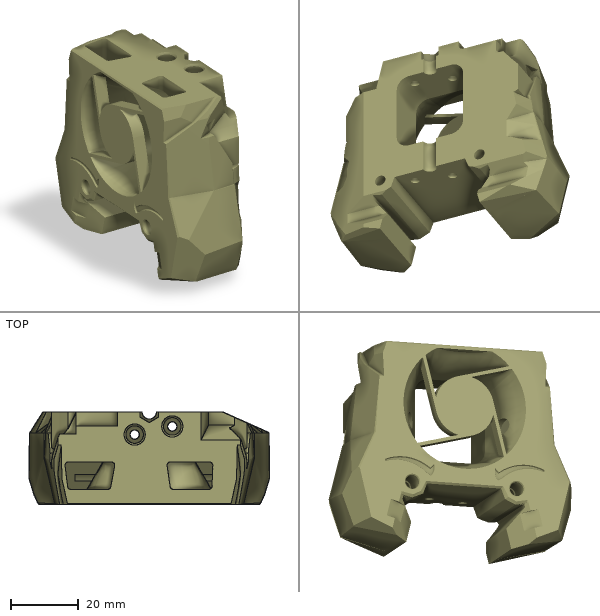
import cadquery as cq
import math

WIDTH = 71.07
DEPTH = 27.4
HEIGHT = 59.13
MARGIN = 2.0
FRONT_EDGE = 0.4
HALF_WIDTH = WIDTH / 2

TIP = (HALF_WIDTH, 7.8, 13.7)
TIP_BACK = (35.4, 21.2, 14.7)
HIP_FRONT = (32.6, 0, 20.4)
HIP_FOLD = (34.2, 3.1, 19.0)
FOOT_FRONT = (29.0, 0, 5.5)
FOOT_INNER_FRONT = (22.4, 0, 2.7)
HEEL_FRONT = (31.8, 6.6, 3.7)
HEEL_BACK = (31.8, 21.2, 3.7)
SOLE = (16.3, 7.0, 0)
WAIST_FRONT = (27.9, 0, 31.2)
WAIST_FOLD = (31.0, 14.0, 31.6)
WAIST_BACK = (31.0, 21.2, 31.0)
CHEST_FRONT = (26.7, 0, 48.0)
CHEST_FOLD = (29.6, 13.2, 46.0)
CHEST_BACK = (29.6, 20.0, 41.5)
SHOULDER_FRONT = (27.9, 9.0, 54.0)
SHOULDER_BACK = (28.6, 14.0, 55.2)
CREST_FRONT = (27.0, 13.0, HEIGHT)
CREST_BACK = (26.9, 18.6, HEIGHT)
WAIST_HEIGHT = 31.3

LOWER_FACETS = [
    (HIP_FRONT, FOOT_FRONT, TIP),
    (WAIST_FOLD, TIP, TIP_BACK),
    (WAIST_FRONT, WAIST_FOLD, HIP_FOLD),
    (TIP, TIP_BACK, HEEL_BACK),
    (FOOT_FRONT, FOOT_INNER_FRONT, HEEL_FRONT),
    (HEEL_FRONT, HEEL_BACK, SOLE),
]
UPPER_FACETS = [
    (WAIST_FRONT, WAIST_FOLD, CHEST_FOLD),
    (WAIST_FOLD, WAIST_BACK, CHEST_FOLD),
    (CHEST_FRONT, CHEST_FOLD, SHOULDER_FRONT),
    (CHEST_FOLD, CHEST_BACK, SHOULDER_BACK),
    (SHOULDER_FRONT, SHOULDER_BACK, CREST_FRONT),
    (SHOULDER_BACK, CREST_FRONT, CREST_BACK),
]
FRONT_TOP = HEIGHT - FRONT_EDGE
UPPER_FRONT_OUTLINE = [(0, FRONT_TOP), (25.6, FRONT_TOP), (26.5, 48.0), (27.6, WAIST_HEIGHT)]
LOWER_FRONT_OUTLINE = [(27.6, WAIST_HEIGHT), (32.4, 20.4)]

REAR_START = 21.2
REAR_PROFILE = [
    (HEIGHT, 26.5, 26.5), (48.3, 26.5, 26.5), (45.5, 28.9, 28.9), (36.6, 28.9, 28.9), (36.0, 30.3, 27.4),
    (31.5, 30.9, 28.3), (26.7, 32.0, 25.1), (21.0, 33.5, 25.1), (18.2, 34.2, 30.4), (13.7, 35.3, 31.4),
    (10.5, 34.3, 27.5), (3.5, 31.8, 26.0), (0, 16.3, 16.3), (0, 0, 0),
]
LUMP_START = 14.0
LUMP_OUTLINE = [(0, 51.5), (24.0, 51.5), (26.5, 48.3), (28.9, 45.5), (28.9, 36.6), (0, 36.6)]
RELIEF_START = 26.5
RELIEF_OUTLINE = [(13.0, 52.2), (REAR_START, 38.0), (DEPTH, 38.0), (DEPTH, 52.2)]
HOLLOW_PLANE = [(28.6, 13.0, 52.2), (26.9, 19.9, HEIGHT), (21.8, 26.6, 51.5)]
HOLLOW_FLOOR = 48.3
REAR_SLICE = [(HALF_WIDTH, 21.2), (21.7, DEPTH)]

OPENING_EDGE = 0.6
OPENING_FRONT = [(0, 17.5), (12.0, 17.5), (13.6, 14.4), (16.0, 13.2), (19.6, 13.9),
                 (20.2, 11.1), (14.75, 6.1), (16.3, 0), (16.3, -MARGIN), (0, -MARGIN)]
OPENING_REST = [(0, 16.9), (11.5, 16.9), (12.7, 13.8), (16.0, 12.4), (18.8, 12.8),
                (19.0, 11.8), (14.75, 6.1), (16.3, 0), (16.3, -MARGIN), (0, -MARGIN)]

FOOT_TILT = 14.0
BEVEL_ORIGIN = (21.35, 6.9)
BEVEL_ANGLE = 41.0
BEVEL_REACH = 9.0
BEVEL_BELOW = 9.0
BEVEL_ABOVE = 6.5
POCKET_SIZE = 5.2
POCKET_RISE = 1.3

LEDGE_FRONT = (25.0, 0, 48.4)
LEDGE_MIDDLE = (27.0, 9.0, 53.4)
LEDGE_BACK = (26.0, 17.6, HEIGHT)
SCOOP_TOP_FRONT = (25.6, 0, HEIGHT)
SCOOP_REACH = 8.0

FAN_HEIGHT = 41.0
FAN_RADIUS = 19.0
FAN_CEILING = 58.0
DUCT_LENGTH = 14.0
OUTLET_LEFT = -10.9
OUTLET_RIGHT = 10.8
OUTLET_BOTTOM = 26.9
OUTLET_TOP = 51.5
OUTLET_CORNER = 4.0
HUB_RADIUS = 9.1
HUB_LENGTH = 4.0
VANE_COUNT = 4
VANE_THICKNESS = 1.0
VANE_ANGLE = 14.5
WIRE_HOLE_DIAMETER = 5.0
WIRE_HOLE_DEPTH = 8.0
WIRE_HOLE_HEIGHT = 37.3
WIRE_HOLE_END = 22.0

WINDOW_LEFT = [(-25.0, 12.6), (-10.0, 12.6), (-11.5, 4.5), (-24.0, 4.5)]
WINDOW_RIGHT = [(5.1, 12.6), (18.8, 12.6), (18.5, 4.5), (6.3, 4.5)]
WINDOW_CORNER = 1.0
WINDOW_FLOOR = 35.0
DUCT_WALL = 2.0

FRONT_HOLE_X = 16.2
FRONT_HOLE_HEIGHT = 17.0
FRONT_HOLE_DIAMETER = 3.4
FRONT_BORE_DIAMETER = 4.2
FRONT_BORE_RIM = 4.8
FRONT_BORE_DEPTH = 8.0
TOP_HOLES = [(-4.3, 20.7), (6.8, 23.1)]
TOP_HOLE_DIAMETER = 2.7
TOP_BORE_DIAMETER = 5.2
TOP_BORE_RIM = 6.25
TOP_BORE_DEPTH = 4.0

CABLE_NOTCH = [(-2.8, DEPTH), (-2.8, 25.9), (0, 24.2), (2.8, 25.9), (2.8, DEPTH)]
CABLE_NOTCH_DEPTH = 3.0
CABLE_RADIUS = 2.1

FOOT_NOTCH = [(DEPTH, 13.1), (24.4, 10.4), (24.4, 7.1), (DEPTH, 3.2)]

SHELF_LEFT = -21.7
SHELF_RIGHT = -9.4
SHELF_FRONT = 23.3
SHELF_FLOOR = 56.1
SHELF_FILLET = 1.7
CORNER_FRONT = 20.8
CORNER_FLOOR = 52.3
CORNER_FILLET = 3.0
RECESS_LEFT = 15.3
RECESS_FRONT = 19.1
RECESS_FLOOR = 50.0
RECESS_SLOPE_X = 2.2
RECESS_SLOPE_Y = 4.4

BROW_DEPTH = 0.5
BROW_TAPER = 25.0
BROW_TAIL_TOP = (24.8, 23.3)
BROW_TOP = (19.0, 24.5)
BROW_NOTCH = (10.6, 21.6)
BROW_HOOK_TIP = (9.5, 22.8)
BROW_HOOK_SIDE = (9.4, 21.0)
BROW_HOOK_BOTTOM = (10.4, 19.2)
BROW_HEEL = (11.7, 19.9)
BROW_UNDER = (18.5, 23.2)
BROW_TAIL_BOTTOM = (24.8, 22.6)


def polygon_face(points):
    return cq.Face.makeFromWires(cq.Wire.makePolygon([cq.Vector(*p) for p in points], close=True))


def solid_between_rings(rings):
    """Closed solid from flat first and last rings, with triangles joining neighbouring rings."""
    faces = [polygon_face(rings[0]), polygon_face(rings[-1])]
    for ring, following in zip(rings, rings[1:]):
        count = len(ring)
        for i in range(count):
            j = (i + 1) % count
            for corners in ((ring[i], ring[j], following[j]), (ring[i], following[j], following[i])):
                if len(set(corners)) == 3:
                    faces.append(polygon_face(corners))
    solid = cq.Solid.makeSolid(cq.Shell.makeShell(faces))
    return cq.Workplane(obj=solid.fix())


def on_both_sides(half):
    return half.union(half.mirror("YZ"))


def front_plane(y=0.0):
    """Sketch plane with local x along X, local y along Z, extruding toward +Y by negative lengths."""
    return cq.Workplane("XZ", origin=(0, y, 0))


def beyond_plane(corners, inside):
    """Large block on the far side, seen from the inside point, of the plane through three corners."""
    first, second, third = (cq.Vector(*c) for c in corners)
    normal = (second - first).cross(third - first)
    if normal.dot(cq.Vector(*inside) - first) > 0:
        normal = normal * -1
    size = 4 * WIDTH
    plane = cq.Plane(origin=first.toTuple(), xDir=(second - first).toTuple(), normal=normal.toTuple())
    return cq.Workplane(plane).rect(size, size).extrude(size)


def edge_planes(outline):
    """Corner triples of the chamfer planes along an outline of the front face."""
    planes = []
    for (x0, z0), (x1, z1) in zip(outline, outline[1:]):
        length = math.hypot(x1 - x0, z1 - z0)
        out_x = FRONT_EDGE * (z0 - z1) / length
        out_z = FRONT_EDGE * (x1 - x0) / length
        planes.append(((x0, 0, z0), (x1, 0, z1), (x1 + out_x, FRONT_EDGE, z1 + out_z)))
    return planes


def make_flank(bottom, top, planes):
    """Half block between two heights, trimmed by planes given as corner triples."""
    block = cq.Workplane().box(HALF_WIDTH, REAR_START, top - bottom, centered=False)
    block = block.translate((0, 0, bottom))
    inside = (0, DEPTH / 2, (bottom + top) / 2)
    for corners in planes:
        block = block.cut(beyond_plane(corners, inside))
    return block


def make_rear():
    start = [(x, REAR_START, z) for z, x, _ in REAR_PROFILE]
    end = [(x, DEPTH, z) for z, _, x in REAR_PROFILE]
    start.append((0, REAR_START, HEIGHT))
    end.append((0, DEPTH, HEIGHT))
    return solid_between_rings([start, end])


def make_body():
    lower = make_flank(0, WAIST_HEIGHT, LOWER_FACETS + edge_planes(LOWER_FRONT_OUTLINE))
    upper = make_flank(WAIST_HEIGHT, HEIGHT, UPPER_FACETS + edge_planes(UPPER_FRONT_OUTLINE))
    half = lower.union(upper).union(make_rear())
    relief = cq.Workplane("YZ", origin=(RELIEF_START, 0, 0)).polyline(RELIEF_OUTLINE).close().extrude(WIDTH)
    lump = front_plane(LUMP_START).polyline(LUMP_OUTLINE).close().extrude(LUMP_START - DEPTH)
    half = half.cut(relief).cut(make_shoulder_hollow()).union(lump)
    slice_corners = [(x, y, z) for x, y in REAR_SLICE for z in (0, HEIGHT)][:3]
    slice_off = beyond_plane(slice_corners, (0, 0, 0))
    return on_both_sides(half).cut(slice_off)


def make_opening():
    def ring(outline, y):
        return [(x, y, z) for x, z in outline]

    return on_both_sides(solid_between_rings([
        ring(OPENING_FRONT, 0),
        ring(OPENING_REST, OPENING_EDGE),
        ring(OPENING_REST, DEPTH),
    ]))


def make_foot_cuts():
    depth = BEVEL_REACH * math.tan(math.radians(BEVEL_ANGLE))
    profile_origin = (BEVEL_ORIGIN[0], 0, BEVEL_ORIGIN[1])
    tilt = math.radians(FOOT_TILT)
    outward = (math.cos(tilt), 0, math.sin(tilt))
    along = (-math.sin(tilt), 0, math.cos(tilt))
    section = cq.Workplane(cq.Plane(origin=profile_origin, xDir=outward, normal=along))
    bevel = (
        section.workplane(offset=-BEVEL_BELOW)
        .polyline([(0, 0), (-BEVEL_REACH, depth), (-BEVEL_REACH, 0)]).close()
        .extrude(BEVEL_BELOW + BEVEL_ABOVE)
    )
    half = POCKET_SIZE / 2
    inner_depth = half * math.tan(math.radians(BEVEL_ANGLE))
    pocket = (
        section.workplane(offset=POCKET_RISE - half)
        .polyline([(half, 0), (-half, inner_depth), (-half, 0)]).close()
        .extrude(POCKET_SIZE)
    )
    return on_both_sides(bevel.union(pocket))


def make_scoops():
    def moved_out(point):
        return (point[0] + SCOOP_REACH, point[1], point[2])

    inner = [SCOOP_TOP_FRONT, LEDGE_FRONT, LEDGE_MIDDLE, LEDGE_BACK]
    faces = []
    for a, b in ((0, 1), (1, 2), (2, 3), (3, 0)):
        faces.append(polygon_face([inner[a], inner[b], moved_out(inner[b]), moved_out(inner[a])]))
    for a, b, c in ((0, 1, 2), (0, 2, 3)):
        faces.append(polygon_face([inner[a], inner[b], inner[c]]))
        faces.append(polygon_face([moved_out(inner[a]), moved_out(inner[b]), moved_out(inner[c])]))
    solid = cq.Solid.makeSolid(cq.Shell.makeShell(faces)).fix()
    return on_both_sides(cq.Workplane(obj=solid))


def make_duct(wall=0):
    """Passage from the fan circle to the rounded outlet, grown outward by a wall thickness."""
    width = OUTLET_RIGHT - OUTLET_LEFT + 2 * wall
    height = OUTLET_TOP - OUTLET_BOTTOM + 2 * wall
    middle_x = (OUTLET_LEFT + OUTLET_RIGHT) / 2
    middle_z = (OUTLET_TOP + OUTLET_BOTTOM) / 2
    inlet = cq.Sketch().circle(FAN_RADIUS + wall).moved(cq.Location(cq.Vector(0, FAN_HEIGHT, 0)))
    outlet = cq.Sketch().rect(width, height).vertices().fillet(OUTLET_CORNER + wall)
    outlet = outlet.moved(cq.Location(cq.Vector(middle_x, middle_z, -DUCT_LENGTH)))
    bell = front_plane().placeSketch(inlet, outlet).loft()
    above = cq.Workplane().box(WIDTH, DEPTH * 2, FAN_RADIUS, centered=(True, True, False))
    bell = bell.cut(above.translate((0, 0, FAN_CEILING + wall)))
    return bell.union(front_plane().placeSketch(outlet).extrude(-DEPTH))


def make_hub():
    """Hub disc with vanes tangent to its rim."""
    hub = front_plane().center(0, FAN_HEIGHT).circle(HUB_RADIUS).extrude(-HUB_LENGTH)
    reach = FAN_RADIUS + MARGIN
    for k in range(VANE_COUNT):
        vane = (
            front_plane().rect(reach, VANE_THICKNESS).extrude(-HUB_LENGTH)
            .translate((reach / 2, 0, HUB_RADIUS - VANE_THICKNESS / 2))
            .rotate((0, 0, 0), (0, 1, 0), -VANE_ANGLE + k * 360 / VANE_COUNT)
        )
        hub = hub.union(vane.translate((0, 0, FAN_HEIGHT)))
    return hub


def make_window(corners):
    outline = cq.Workplane("XY", origin=(0, 0, WINDOW_FLOOR)).polyline(corners).close()
    return outline.extrude(HEIGHT - WINDOW_FLOOR).edges("|Z").fillet(WINDOW_CORNER)


def stepped_bore(bore, rim, depth, through, length):
    """Stepped hole along -Z from the origin: chamfered rim, wide bore and narrow through hole."""
    chamfer = (rim - bore) / 2
    return (
        cq.Workplane("XZ")
        .polyline([(0, 0), (rim / 2, 0), (bore / 2, -chamfer), (bore / 2, -depth),
                   (through / 2, -depth), (through / 2, -length), (0, -length)]).close()
        .revolve(360, (0, 0, 0), (0, 1, 0))
    )


def make_screw_holes():
    top = stepped_bore(TOP_BORE_DIAMETER, TOP_BORE_RIM, TOP_BORE_DEPTH, TOP_HOLE_DIAMETER, HEIGHT)
    front = stepped_bore(FRONT_BORE_DIAMETER, FRONT_BORE_RIM, FRONT_BORE_DEPTH, FRONT_HOLE_DIAMETER, DEPTH)
    front = front.rotate((0, 0, 0), (1, 0, 0), 90)
    holes = on_both_sides(front.translate((FRONT_HOLE_X, 0, FRONT_HOLE_HEIGHT)))
    for x, y in TOP_HOLES:
        holes = holes.union(top.translate((x, y, HEIGHT)))
    return holes


def make_wire_hole():
    """Crosswise hole through both duct walls."""
    centre = cq.Workplane("YZ").center(WIRE_HOLE_DEPTH, WIRE_HOLE_HEIGHT)
    return centre.circle(WIRE_HOLE_DIAMETER / 2).extrude(WIRE_HOLE_END, both=True)


def make_rear_steps():
    """Shelf and filleted corner cut at the -X end of the rear, sloping recess at the +X end."""
    shelf = cq.Workplane().box(SHELF_RIGHT - SHELF_LEFT, DEPTH, HEIGHT, centered=False)
    shelf = shelf.translate((SHELF_LEFT, SHELF_FRONT, SHELF_FLOOR))
    shelf = shelf.edges("|Y and >X and <Z").fillet(SHELF_FILLET)
    corner = cq.Workplane().box(HALF_WIDTH, DEPTH, HEIGHT, centered=False)
    corner = corner.translate((SHELF_LEFT - HALF_WIDTH, CORNER_FRONT, CORNER_FLOOR))
    corner = corner.edges("|X and <Y and <Z").fillet(CORNER_FILLET)

    def rectangle(left, front, height):
        right = HALF_WIDTH
        back = DEPTH + MARGIN
        return [(left, front, height), (right, front, height), (right, back, height), (left, back, height)]

    recess = solid_between_rings([
        rectangle(RECESS_LEFT + RECESS_SLOPE_X, RECESS_FRONT + RECESS_SLOPE_Y, RECESS_FLOOR),
        rectangle(RECESS_LEFT, RECESS_FRONT, HEIGHT),
    ])
    return shelf.union(corner).union(recess)


def make_shoulder_hollow():
    hollow = beyond_plane(HOLLOW_PLANE, (0, DEPTH, FAN_HEIGHT))
    above_floor = cq.Workplane().box(WIDTH, DEPTH, HEIGHT, centered=False).translate((0, 0, HOLLOW_FLOOR))
    return hollow.intersect(above_floor)


def make_cable_notch():
    top = cq.Workplane("XY", origin=(0, 0, HEIGHT))
    notch = top.polyline(CABLE_NOTCH).close().extrude(-CABLE_NOTCH_DEPTH)
    hole = cq.Workplane("XY").center(0, DEPTH).circle(CABLE_RADIUS).extrude(HEIGHT)
    return notch.union(hole)


def make_foot_notch():
    return cq.Workplane("YZ").polyline(FOOT_NOTCH).close().extrude(WIDTH, both=True)


def make_brows():
    brow = (
        front_plane().moveTo(*BROW_TAIL_TOP).threePointArc(BROW_TOP, BROW_NOTCH)
        .lineTo(*BROW_HOOK_TIP).threePointArc(BROW_HOOK_SIDE, BROW_HOOK_BOTTOM)
        .lineTo(*BROW_HEEL).threePointArc(BROW_UNDER, BROW_TAIL_BOTTOM).close()
        .extrude(-BROW_DEPTH, taper=BROW_TAPER)
    )
    return on_both_sides(brow)


duct = make_duct()
duct_shell = make_duct(DUCT_WALL)
result = make_body().cut(make_opening()).cut(make_foot_cuts()).cut(make_scoops())
result = result.cut(duct).cut(make_wire_hole())
for corners in (WINDOW_LEFT, WINDOW_RIGHT):
    result = result.cut(make_window(corners).cut(duct_shell))
result = result.union(make_hub().intersect(duct))
result = result.cut(make_screw_holes()).cut(make_rear_steps())
result = result.cut(make_cable_notch()).cut(make_foot_notch()).cut(make_brows())